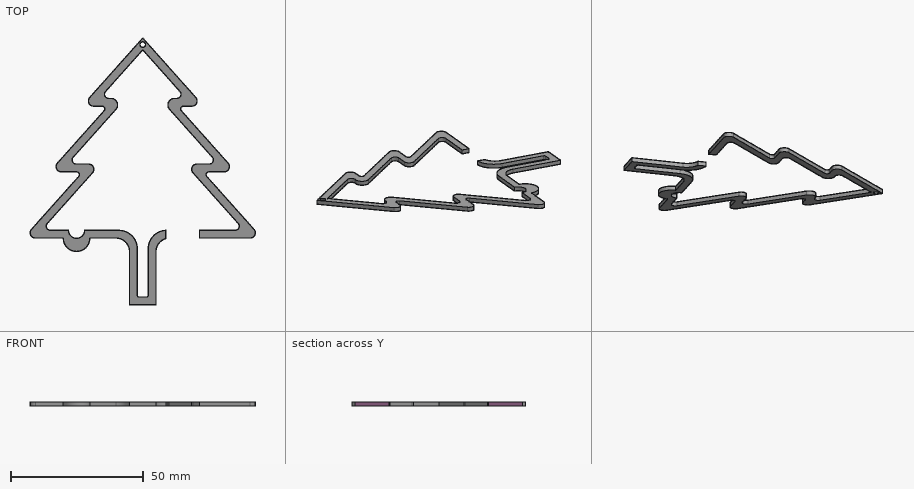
import cadquery as cq
import math

height = 100.6
width = 84.9
thickness = 1.6
band = 3.0

side_slope = 1.12
shelf_heights = [74.9, 50.1, 25.2]
upper_notch_x = 13.1
tip_radius = 2.0
outer_notch_radius = 1.0
inner_tip_radius = 1.5
upper_inner_notch_radius = 2.5
lower_inner_notch_radius = 2.0

trunk_half_width = 5.0
trunk_bend_radius = 5.0
inner_bend_radius = 7.0
slot_corner_radius = 0.6

gap_start = 8.8
gap_end = 21.3

cup_x = -25.0
cup_radius = 5.0
cup_notch_radius = 3.0

hole_diameter = 2.0
hole_drop = 2.5

base = shelf_heights[-1]
side_angle = math.atan(side_slope)
side_drop = band / math.cos(side_angle)
side_shift = side_drop / side_slope

foot_x = width / 2 + tip_radius * (1 / math.tan(side_angle / 2) - 1)
lower_notch_x = foot_x - (shelf_heights[1] - base) / side_slope


def outer_corners():
    """Right half of the outer outline: (x, y, corner radius), from the apex down."""
    corners = [(0, height, 0)]
    side_top_x, side_top_y = 0, height
    for shelf, notch in zip(shelf_heights, [upper_notch_x, lower_notch_x]):
        tip_x = side_top_x + (side_top_y - shelf) / side_slope
        corners.append((tip_x, shelf, tip_radius))
        corners.append((notch, shelf, outer_notch_radius))
        side_top_x, side_top_y = notch, shelf
    corners.append((foot_x, base, tip_radius))
    corners.append((trunk_half_width, base, trunk_bend_radius))
    corners.append((trunk_half_width, 0, 0))
    return corners


def inner_corners():
    """Right half of the inner outline, one strip width inside the outer one."""
    corners = [(0, height - side_drop, 0)]
    shelf_shift = side_shift + band / side_slope
    radii = [
        inner_tip_radius,
        upper_inner_notch_radius,
        inner_tip_radius,
        lower_inner_notch_radius,
        inner_tip_radius,
    ]
    for (x, y, _), radius in zip(outer_corners()[1:-2], radii):
        corners.append((x - shelf_shift, y + band, radius))
    slot_x = trunk_half_width - band
    corners.append((slot_x, base + band, inner_bend_radius))
    corners.append((slot_x, band, slot_corner_radius))
    return corners


def mirrored_plate(half):
    """Plate with a left-right symmetric outline and rounded corners."""
    left = [(-x, y, radius) for x, y, radius in reversed(half[1:])]
    corners = half + left
    plate = cq.Workplane("XY").polyline([(x, y) for x, y, _ in corners]).close().extrude(thickness)
    for x, y, radius in corners:
        if radius > 0:
            corner = cq.selectors.NearestToPointSelector((x, y, thickness / 2))
            plate = plate.edges("|Z").edges(corner).fillet(radius)
    return plate


def disc(x, y, radius):
    return cq.Workplane("XY").center(x, y).circle(radius).extrude(thickness)


tree = mirrored_plate(outer_corners()).cut(mirrored_plate(inner_corners()))

gap_bottom = base - trunk_bend_radius
gap_size = (gap_end - gap_start, trunk_bend_radius + band, thickness)
gap = cq.Workplane("XY").box(*gap_size, centered=False).translate((gap_start, gap_bottom, 0))
tree = tree.cut(gap)

lower_half = (
    cq.Workplane("XY")
    .box(2 * cup_radius, cup_radius, thickness, centered=False)
    .translate((cup_x - cup_radius, base - cup_radius, 0))
)
cup = disc(cup_x, base, cup_radius).intersect(lower_half)
tree = tree.union(cup).cut(disc(cup_x, base + band, cup_notch_radius))

result = tree.cut(disc(0, height - hole_drop, hole_diameter / 2))